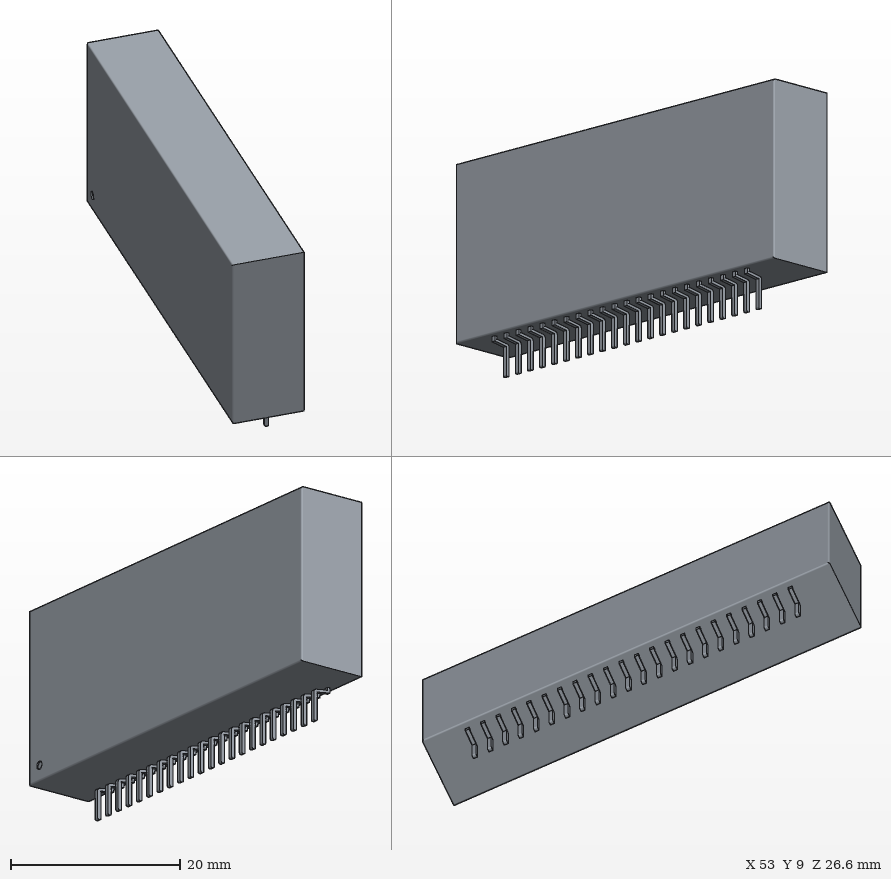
import cadquery as cq
import math

BODY_LENGTH = 53.0
BODY_DEPTH = 9.0
BODY_HEIGHT = 22.0
BODY_EDGE_RADIUS = 0.2

MARK_DIAMETER = 1.0
MARK_DEPTH = 0.2
MARK_INSET = 2.0

PIN_COUNT = 22
PIN_PITCH = 2.0
PIN_WIDTH = 0.5
LEG_THICKNESS = 0.5
ARM_THICKNESS = 0.35
PIN_DROP = 4.6
PIN_TIP_RADIUS = 0.2
STUB_INSET = 0.8
STUB_DROP = 0.65
LEG_INSET = 2.7
ARM_SLOPE = math.radians(9)
BEND_RADIUS = 0.4


def make_body():
    block = cq.Workplane("XY").box(BODY_LENGTH, BODY_DEPTH, BODY_HEIGHT, centered=(True, True, False))
    return block.faces("<Y or >Y").edges().fillet(BODY_EDGE_RADIUS)


def make_mark():
    """Cutter for the dimple, sunk into the front face."""
    return (
        cq.Workplane("XZ", origin=(0, -BODY_DEPTH / 2, 0))
        .center(MARK_INSET - BODY_LENGTH / 2, MARK_INSET)
        .circle(MARK_DIAMETER / 2)
        .extrude(-MARK_DEPTH)
    )


def make_pin():
    """One pin centred on X = 0: stub under the body, sloping arm, upright leg with a rounded tip."""
    stub_back = BODY_DEPTH / 2 - STUB_INSET
    stub_front = stub_back - ARM_THICKNESS
    leg_back = BODY_DEPTH / 2 - LEG_INSET
    leg_front = leg_back - LEG_THICKNESS
    arm_height = ARM_THICKNESS / math.cos(ARM_SLOPE)

    def arm_bottom(y):
        return -STUB_DROP - (stub_back - y) * math.tan(ARM_SLOPE)

    def arm_top(y):
        return arm_bottom(y) + arm_height

    profile = [
        (stub_back, 0),
        (stub_back, arm_bottom(stub_back)),
        (leg_back, arm_bottom(leg_back)),
        (leg_back, -PIN_DROP),
        (leg_front, -PIN_DROP),
        (leg_front, arm_top(leg_front)),
        (stub_front, arm_top(stub_front)),
        (stub_front, 0),
    ]
    pin = cq.Workplane("YZ").polyline(profile).close().extrude(PIN_WIDTH / 2, both=True)
    pin = pin.faces("<Y").edges("|X and >Z").fillet(BEND_RADIUS)
    return pin.faces("<Z").edges("|X").fillet(PIN_TIP_RADIUS)


def add_pins(body):
    pin = make_pin()
    first_x = -(PIN_COUNT - 1) * PIN_PITCH / 2
    for index in range(PIN_COUNT):
        body = body.union(pin.translate((first_x + index * PIN_PITCH, 0, 0)))
    return body


result = add_pins(make_body().cut(make_mark()))